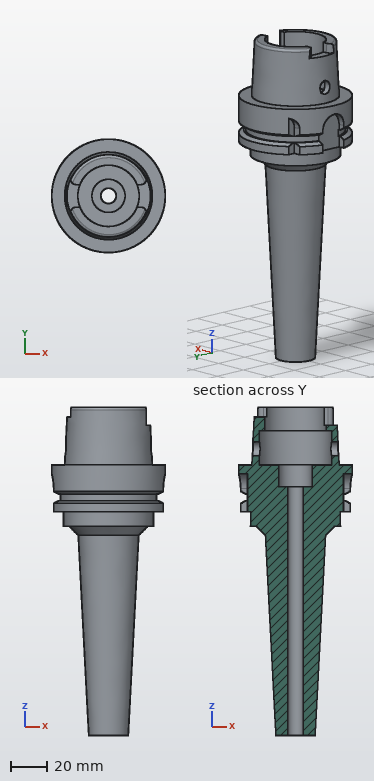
import cadquery as cq
import math


shank_length = 32.0
shank_base_radius = 24.35
taper_ratio = 0.05
shank_rim_radius = 1.5

flange_radius = 31.5
flange_thickness = 26.0
groove_centre_depth = 18.0
groove_floor_radius = 27.6
groove_floor_width = 3.6
groove_mouth_width = 6.7
groove_step_radius = 28.7

collar_radius = 25.0
collar_bottom_depth = 34.0
nose_top_depth = 39.0
nose_end_depth = 150.0
nose_end_radius = 11.0
nose_half_angle = 3.0

bore_radius = 17.0
clamp_lip_depth = 13.1
clamp_recess_radius = 20.0
bore_floor_z = 0.0
tube_hole_radius = 9.2
tube_hole_depth = 12.0
through_hole_radius = 4.2

cross_hole_radius = 3.75
cross_hole_z = 8.9

slot_half_width = 6.27
slot_shoulder_x = 21.0
slot_corner_radius = 3.0
shallow_slot_depth = 5.4
deep_slot_depth = 10.0

keyway_radius = 8.0
keyway_centre_z = -13.0
keyway_floor_x = 26.6

notch_radius = 6.0
notch_centre_y = 26.0
notch_centre_z = -11.0
notch_floor_x = 20.0

cut_margin = 10.0


def make_body():
    """Outer shape: one half outline turned about Z."""
    taper_angle = math.atan(taper_ratio)
    shank_tip_radius = shank_base_radius - taper_ratio * shank_length
    corner_setback = shank_rim_radius * math.tan((math.pi / 2 - taper_angle) / 2)
    arc_centre_r = shank_tip_radius - corner_setback
    arc_centre_z = shank_length - shank_rim_radius
    rim_side_r = arc_centre_r + shank_rim_radius * math.cos(taper_angle)
    rim_side_z = arc_centre_z + shank_rim_radius * math.sin(taper_angle)
    arc_mid_angle = (taper_angle + math.pi / 2) / 2
    rim_mid_r = arc_centre_r + shank_rim_radius * math.cos(arc_mid_angle)
    rim_mid_z = arc_centre_z + shank_rim_radius * math.sin(arc_mid_angle)

    nose_length = nose_end_depth - nose_top_depth
    nose_top_radius = nose_end_radius + nose_length * math.tan(math.radians(nose_half_angle))
    shoulder_radius = nose_top_radius + nose_top_depth - collar_bottom_depth

    outline = (
        cq.Workplane("XZ")
        .moveTo(0, -nose_end_depth)
        .lineTo(nose_end_radius, -nose_end_depth)
        .lineTo(nose_top_radius, -nose_top_depth)
        .lineTo(shoulder_radius, -collar_bottom_depth)
        .lineTo(collar_radius, -collar_bottom_depth)
        .lineTo(collar_radius, -flange_thickness)
        .lineTo(flange_radius, -flange_thickness)
        .lineTo(flange_radius, -groove_centre_depth - groove_mouth_width / 2)
        .lineTo(groove_step_radius, -groove_centre_depth - groove_floor_width / 2)
        .lineTo(groove_floor_radius, -groove_centre_depth - groove_floor_width / 2)
        .lineTo(groove_floor_radius, -groove_centre_depth + groove_floor_width / 2)
        .lineTo(groove_step_radius, -groove_centre_depth + groove_floor_width / 2)
        .lineTo(flange_radius, -groove_centre_depth + groove_mouth_width / 2)
        .lineTo(flange_radius, 0)
        .lineTo(shank_base_radius, 0)
        .lineTo(rim_side_r, rim_side_z)
        .threePointArc((rim_mid_r, rim_mid_z), (arc_centre_r, shank_length))
        .lineTo(0, shank_length)
        .close()
    )
    return outline.revolve(360, (0, 0, 0), (0, 1, 0))


def make_bore():
    """Stepped bore with an undercut below the clamping lip."""
    lip_z = shank_length - clamp_lip_depth
    tube_floor_z = bore_floor_z - tube_hole_depth
    outline = (
        cq.Workplane("XZ")
        .moveTo(0, shank_length)
        .lineTo(bore_radius, shank_length)
        .lineTo(bore_radius, lip_z)
        .lineTo(clamp_recess_radius, lip_z)
        .lineTo(clamp_recess_radius, bore_floor_z)
        .lineTo(tube_hole_radius, bore_floor_z)
        .lineTo(tube_hole_radius, tube_floor_z)
        .lineTo(through_hole_radius, tube_floor_z)
        .lineTo(through_hole_radius, -nose_end_depth)
        .lineTo(0, -nose_end_depth)
        .close()
    )
    return outline.revolve(360, (0, 0, 0), (0, 1, 0))


def make_cross_hole():
    """Round hole along X through both shank walls."""
    return (
        cq.Workplane("YZ")
        .center(0, cross_hole_z)
        .circle(cross_hole_radius)
        .extrude(flange_radius, both=True)
    )


def make_drive_slot(side, depth):
    """Slot open to the shank end on one X side, with the lug corners rounded outside."""
    outer_x = side * (flange_radius + cut_margin)
    shoulder_x = side * slot_shoulder_x
    arc_start_x = side * (slot_shoulder_x - slot_corner_radius)
    arc_end_y = slot_half_width + slot_corner_radius
    arc_inset = slot_corner_radius * math.sqrt(0.5)
    arc_mid_x = arc_start_x + side * arc_inset
    arc_mid_y = arc_end_y - arc_inset
    return (
        cq.Workplane("XY", origin=(0, 0, shank_length - depth))
        .moveTo(0, -slot_half_width)
        .lineTo(arc_start_x, -slot_half_width)
        .threePointArc((arc_mid_x, -arc_mid_y), (shoulder_x, -arc_end_y))
        .lineTo(shoulder_x, -flange_radius)
        .lineTo(outer_x, -flange_radius)
        .lineTo(outer_x, flange_radius)
        .lineTo(shoulder_x, flange_radius)
        .lineTo(shoulder_x, arc_end_y)
        .threePointArc((arc_mid_x, arc_mid_y), (arc_start_x, slot_half_width))
        .lineTo(0, slot_half_width)
        .close()
        .extrude(depth)
    )


def make_rim_pocket(side, floor_x, radius, centre_y, centre_z):
    """Round-topped pocket cut along X into the flange rim, open at the flange underside."""
    return (
        cq.Workplane("YZ", origin=(side * floor_x, 0, 0))
        .moveTo(centre_y - radius, -flange_thickness)
        .lineTo(centre_y - radius, centre_z)
        .threePointArc((centre_y, centre_z + radius), (centre_y + radius, centre_z))
        .lineTo(centre_y + radius, -flange_thickness)
        .close()
        .extrude(side * (flange_radius + cut_margin - floor_x))
    )


result = make_body().cut(make_bore()).cut(make_cross_hole())
result = result.cut(make_drive_slot(-1, shallow_slot_depth))
result = result.cut(make_drive_slot(1, deep_slot_depth))
for keyway_side in (-1, 1):
    result = result.cut(
        make_rim_pocket(keyway_side, keyway_floor_x, keyway_radius, 0, keyway_centre_z)
    )
result = result.cut(
    make_rim_pocket(-1, notch_floor_x, notch_radius, notch_centre_y, notch_centre_z)
)